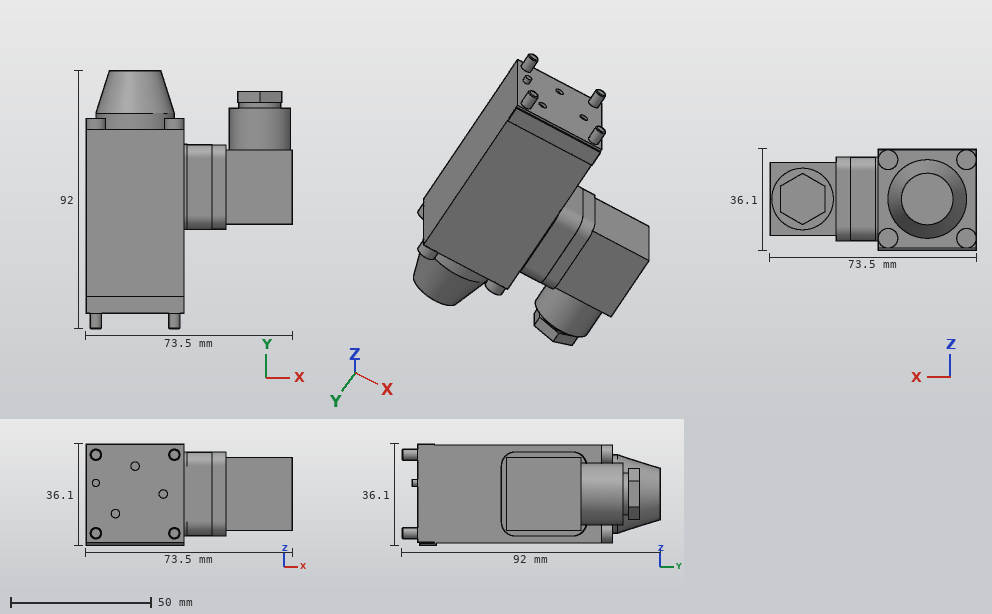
import cadquery as cq
import math


body_width = 35.0
body_rear = 65.5
block_length = 6.0
block_lift = 0.3

plate_front = 0.7
plate_length = 6.0
plate_bottom = -18.3

port_diameter = 3.0
port_depth = 1.0
port_centres = [(0, 9.9), (10.0, 0), (-7.0, -7.0)]
pin_diameter = 2.6
pin_length = 1.9
pin_centre = (-14.0, 4.0)

screw_offset = 14.0
screw_diameter = 4.05
screw_projection = 5.5
screw_chamfer = 0.4
head_diameter = 7.0
head_height = 4.0

cap_diameter = 28.1
cap_length = 5.8
cone_end_diameter = 18.4
overall_length = 92.0
cone_end = overall_length - screw_projection

connector_y = 45.0
connector_x = body_width / 2
pad_corner_radius = 5.0
gasket_thickness = 1.0
gasket_width = 30.4
gasket_height = 30.0
gasket_rear_overhang = 0.2
spacer_end = 9.9
spacer_width = gasket_width
spacer_height = 29.9
flange_end = 15.0
flange_width = 30.2
flange_height = gasket_height

housing_end = 38.55
housing_width = 26.5
housing_height = 26.1
gland_x = connector_x + 27.0
gland_diameter = 22.0
gland_length = 14.9
neck_diameter = 15.1
neck_length = 2.0
nut_across_flats = 15.8
nut_length = 4.0


def box(x_range, y_range, z_range):
    """Box between the given limits along each axis."""
    sizes = [high - low for low, high in (x_range, y_range, z_range)]
    corner = (x_range[0], y_range[0], z_range[0])
    return cq.Workplane("XY").box(*sizes, centered=False).translate(corner)


def rod(diameter, y_start, y_end, x=0, z=0):
    """Cylinder along Y."""
    return (
        cq.Workplane("XZ", origin=(x, y_start, z))
        .circle(diameter / 2)
        .extrude(y_start - y_end)
    )


def pad(start, end, width, height, rear_overhang=0):
    """Rounded pad of the connector base, spanning start to end outward from the body side."""
    half_width = width / 2
    half_height = height / 2
    return box(
        (connector_x + start, connector_x + end),
        (connector_y - half_width, connector_y + half_width + rear_overhang),
        (-half_height, half_height),
    ).edges("|X").fillet(pad_corner_radius)


def valve_body():
    half = body_width / 2
    sides = (-half, half)
    body = box(sides, (block_length, body_rear), (-half, half))
    block = box(sides, (0, block_length), (block_lift - half, block_lift + half))
    plate = box(sides, (plate_front, plate_front + plate_length), (plate_bottom, -half))
    return body.union(block).union(plate)


def rear_cap():
    cone_start = body_rear + cap_length
    profile = [
        (0, body_rear),
        (cap_diameter / 2, body_rear),
        (cap_diameter / 2, cone_start),
        (cone_end_diameter / 2, cone_end),
        (0, cone_end),
    ]
    return cq.Workplane("XY").polyline(profile).close().revolve(360, (0, 0), (0, 1))


def screw(x, z):
    shank = rod(screw_diameter, -screw_projection, 0, x, z).faces("<Y").chamfer(screw_chamfer)
    head = rod(head_diameter, body_rear, body_rear + head_height, x, z)
    return shank.union(head)


def connector_base():
    gasket = pad(0, gasket_thickness, gasket_width, gasket_height, gasket_rear_overhang)
    spacer = pad(gasket_thickness, spacer_end, spacer_width, spacer_height)
    flange = pad(spacer_end, flange_end, flange_width, flange_height)
    return gasket.union(spacer).union(flange)


def connector_housing():
    return box(
        (connector_x + flange_end, connector_x + housing_end),
        (connector_y - housing_width / 2, connector_y + housing_width / 2),
        (-housing_height / 2, housing_height / 2),
    )


def cable_gland():
    gland_start = connector_y + housing_width / 2
    neck_start = gland_start + gland_length
    nut_start = neck_start + neck_length
    gland = rod(gland_diameter, gland_start, neck_start, gland_x)
    neck = rod(neck_diameter, neck_start, nut_start, gland_x)
    nut_across_corners = nut_across_flats / math.cos(math.radians(30))
    nut = (
        cq.Workplane("XZ", origin=(gland_x, nut_start, 0))
        .transformed(rotate=(0, 0, 90))
        .polygon(6, nut_across_corners)
        .extrude(-nut_length)
    )
    return gland.union(neck).union(nut)


result = valve_body().union(rear_cap())

for x in (-screw_offset, screw_offset):
    for z in (-screw_offset, screw_offset):
        result = result.union(screw(x, z))

pin_x, pin_z = pin_centre
result = result.union(rod(pin_diameter, -pin_length, 0, pin_x, pin_z))

for port_x, port_z in port_centres:
    result = result.cut(rod(port_diameter, 0, port_depth, port_x, port_z))

result = result.union(connector_base()).union(connector_housing()).union(cable_gland())